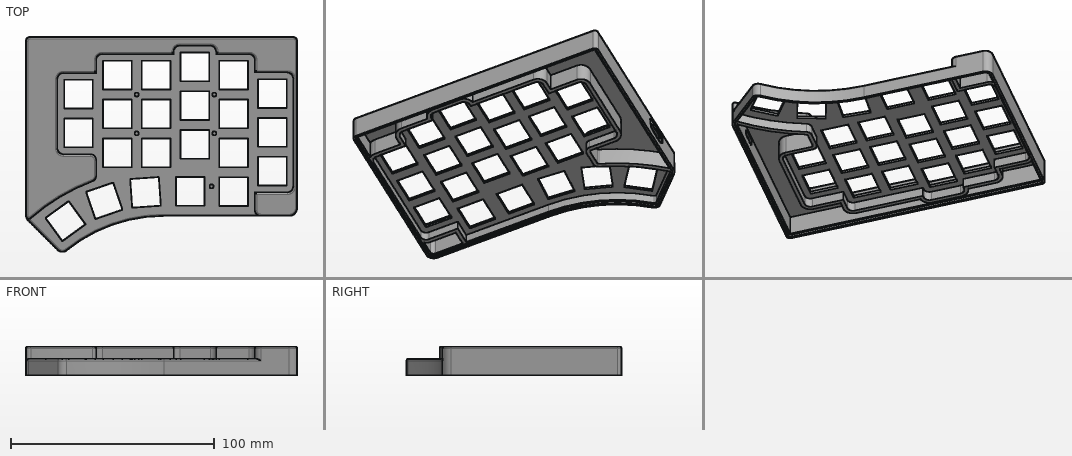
import cadquery as cq
import math

WIDTH = 133.0
HEIGHT = 14.1
BACK_Y = 87.7
PLATE_TOP = 8.1
PLATE_THICKNESS = 1.5
WALL = 2.0
ROOF = 2.0
EDGE_ROUND = 0.9
BACK_CORNER_RADIUS = 2.0
SIDE_CORNER_RADIUS = 4.0
TIP_RADIUS = 3.0

ARC_START_X = 67.5
THUMB_INNER_RADIUS = 75.8
THUMB_OUTER_RADIUS = 99.2
DIAGONAL_START_Y = -1.0

PITCH = 19.0
KEY_HOLE = 14.0
KEY_CLEARANCE = 10.4
FIRST_COLUMN_X = 25.8
COLUMN_TOP_Y = [59.7, 69.0, 69.0, 73.1, 69.0, 60.0]
COLUMN_ROWS = [2, 3, 3, 3, 4, 3]
COLUMN_X = [FIRST_COLUMN_X + PITCH * i for i in range(len(COLUMN_ROWS))]
THUMB_KEYS = [(80.6, 12.1, 0), (58.6, 11.6, 4), (38.4, 7.5, 19), (19.4, -2.5, 36)]

RECESS_CORNER_RADIUS = 2.9
RIM_END_RADIUS = 1.3
RECESS_OVERHANG = 26.6
RECESS_END_ANGLE = 50

DIMPLE_DIAMETER = 2.0
DIMPLE_DEPTH = 0.4
FRONT_DIMPLE_SHIFT = 1.3
FRONT_DIMPLE_Y = 14.5

SEAT_DEPTH = 1.3
SEAT_LIP = 1.0

PORT_Y = 20.1
PORT_Z = 8.6
PORT_LENGTH = 9.5
PORT_HEIGHT = 3.6
PLUG_LENGTH = 14.4
PLUG_HEIGHT = 8.9
PLUG_DEPTH = 0.8


def thumb_point(radius, angle):
    """Point on a circle about the thumb centre; the angle is measured from +Y toward -X."""
    a = math.radians(angle)
    return ARC_START_X - radius * math.sin(a), radius * math.cos(a) - THUMB_INNER_RADIUS


def round_upright_edge(body, x, y, radius):
    """Round the vertical edge of a body nearest to (x, y)."""
    near = cq.NearestToPointSelector((x, y, HEIGHT / 2))
    return body.edges("|Z").edges(near).fillet(radius)


def case_outline(height):
    """Solid of the case outline, from z = 0 up to the given height."""
    centre_distance = (ARC_START_X - THUMB_INNER_RADIUS - DIAGONAL_START_Y) / math.sqrt(2)
    tip_angle = 45 + math.degrees(math.asin(centre_distance / THUMB_INNER_RADIUS))
    tip = thumb_point(THUMB_INNER_RADIUS, tip_angle)
    body = (
        cq.Workplane("XY")
        .moveTo(0, BACK_Y)
        .lineTo(WIDTH, BACK_Y)
        .lineTo(WIDTH, 0)
        .lineTo(ARC_START_X, 0)
        .threePointArc(thumb_point(THUMB_INNER_RADIUS, tip_angle / 2), tip)
        .lineTo(0, DIAGONAL_START_Y)
        .close()
        .extrude(height)
    )
    body = body.edges("|Z and >Y").fillet(BACK_CORNER_RADIUS)
    body = round_upright_edge(body, *tip, TIP_RADIUS)
    body = round_upright_edge(body, WIDTH, 0, SIDE_CORNER_RADIUS)
    return round_upright_edge(body, 0, DIAGONAL_START_Y, SIDE_CORNER_RADIUS)


def offset_block(block, distance, height):
    """Prism on the bottom outline of a block, grown (or shrunk, if negative) by a distance."""
    outline = block.faces("<Z").wires().val()
    grown = outline.offset2D(distance)[0]
    return cq.Workplane("XY").add(grown).toPending().extrude(height)


def recess_block(height):
    """Solid of the stepped key area, open past the front edge."""
    left = COLUMN_X[0] - KEY_CLEARANCE
    tops = [y + KEY_CLEARANCE for y in COLUMN_TOP_Y]
    step1 = COLUMN_X[1] - KEY_CLEARANCE
    step2 = COLUMN_X[3] - KEY_CLEARANCE
    step3 = COLUMN_X[3] + KEY_CLEARANCE
    step4 = COLUMN_X[4] + KEY_CLEARANCE
    right = WIDTH - WALL
    left_bottom = COLUMN_TOP_Y[0] - PITCH - KEY_CLEARANCE
    right_bottom = COLUMN_TOP_Y[5] - 2 * PITCH - KEY_CLEARANCE
    bulge_angle = math.degrees(math.asin((ARC_START_X - step1) / THUMB_OUTER_RADIUS))
    bulge = thumb_point(THUMB_OUTER_RADIUS, bulge_angle)
    mid = thumb_point(THUMB_OUTER_RADIUS, (bulge_angle + RECESS_END_ANGLE) / 2)
    end = thumb_point(THUMB_OUTER_RADIUS, RECESS_END_ANGLE)
    block = (
        cq.Workplane("XY")
        .moveTo(*bulge)
        .lineTo(step1, left_bottom)
        .lineTo(left, left_bottom)
        .lineTo(left, tops[0])
        .lineTo(step1, tops[0])
        .lineTo(step1, tops[1])
        .lineTo(step2, tops[1])
        .lineTo(step2, tops[3])
        .lineTo(step3, tops[3])
        .lineTo(step3, tops[4])
        .lineTo(step4, tops[4])
        .lineTo(step4, tops[5])
        .lineTo(right, tops[5])
        .lineTo(right, right_bottom)
        .lineTo(step4, right_bottom)
        .lineTo(step4, -RECESS_OVERHANG)
        .lineTo(end[0], -RECESS_OVERHANG)
        .lineTo(*end)
        .threePointArc(mid, bulge)
        .close()
        .extrude(height)
    )
    rounded = [
        bulge, (step1, left_bottom), (left, left_bottom), (left, tops[0]), (step1, tops[1]),
        (step2, tops[3]), (step3, tops[3]), (step4, tops[4]), (right, tops[5]), (right, right_bottom),
    ]
    for x, y in rounded:
        block = round_upright_edge(block, x, y, RECESS_CORNER_RADIUS)
    return block


def key_holes():
    """Square cutters for every key."""
    grid = [
        (x, top - PITCH * row, 0)
        for x, top, rows in zip(COLUMN_X, COLUMN_TOP_Y, COLUMN_ROWS)
        for row in range(rows)
    ]
    holes = cq.Workplane("XY")
    for x, y, angle in grid + THUMB_KEYS:
        hole = cq.Workplane("XY").rect(KEY_HOLE, KEY_HOLE).extrude(HEIGHT)
        holes = holes.add(hole.rotate((0, 0, 0), (0, 0, 1), angle).translate((x, y, 0)))
    return holes.combine()


slab = case_outline(PLATE_TOP).faces(">Z").edges().fillet(EDGE_ROUND)
rim = case_outline(HEIGHT).cut(recess_block(HEIGHT))
rim = round_upright_edge(rim, COLUMN_X[4] + KEY_CLEARANCE, 0, RECESS_CORNER_RADIUS)
rim_end = cq.NearestToPointSelector((1.2, -1.9, HEIGHT / 2))
rim = rim.edges("|Z").edges(rim_end).fillet(RIM_END_RADIUS)
rim = rim.faces(">Z").edges().fillet(EDGE_ROUND)
case = slab.union(rim)

inside = offset_block(case_outline(HEIGHT), -WALL, HEIGHT - ROOF)
case = case.cut(recess_block(PLATE_TOP - PLATE_THICKNESS).intersect(inside))
divider = offset_block(recess_block(HEIGHT), WALL, HEIGHT)
case = case.cut(inside.cut(divider))
case = case.cut(offset_block(case_outline(HEIGHT), -SEAT_LIP, SEAT_DEPTH))

case = case.cut(key_holes())

between_left = (COLUMN_X[1] + COLUMN_X[2]) / 2
between_right = (COLUMN_X[3] + COLUMN_X[4]) / 2
row_gap_y = COLUMN_TOP_Y[1] - PITCH / 2
dimples = [(x, row_gap_y - PITCH * row) for x in (between_left, between_right) for row in (0, 1)]
dimples.append((between_right - FRONT_DIMPLE_SHIFT, FRONT_DIMPLE_Y))
case = case.cut(
    cq.Workplane("XY", origin=(0, 0, PLATE_TOP - DIMPLE_DEPTH))
    .pushPoints(dimples)
    .circle(DIMPLE_DIAMETER / 2)
    .extrude(DIMPLE_DEPTH)
)

side = cq.Workplane("YZ").center(PORT_Y, PORT_Z)
case = case.cut(side.slot2D(PORT_LENGTH, PORT_HEIGHT).extrude(2 * WALL))
case = case.cut(side.slot2D(PLUG_LENGTH, PLUG_HEIGHT).extrude(PLUG_DEPTH))

result = case